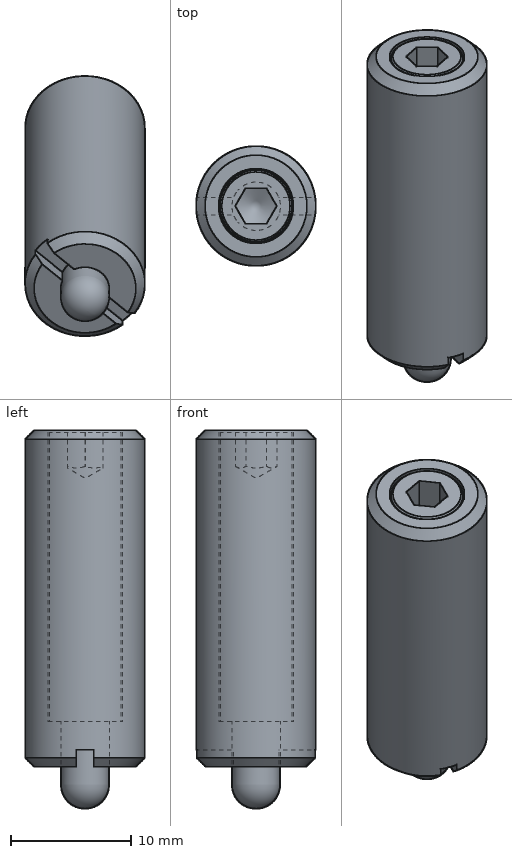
import cadquery as cq
import math

total_length = 31.5
sleeve_diameter = 10.0
sleeve_length = 28.0
sleeve_chamfer = 0.75

bore_radius = 3.12
head_radius = 3.0
head_chamfer = 0.15
nose_radius = 2.02
floor_thickness = 3.78

slot_width = 1.45
slot_depth = 1.42

hex_across_flats = 3.0
hex_depth = 3.0
socket_cone_angle = 120.0

sleeve_bottom = total_length - sleeve_length
bore_floor = sleeve_bottom + floor_thickness
hex_corner_radius = hex_across_flats / math.sqrt(3)
cone_depth = hex_corner_radius / math.tan(math.radians(socket_cone_angle / 2))


def make_sleeve():
    """Chamfered cylinder with a stepped bore and a slot along X in its lower end."""
    sleeve = (
        cq.Workplane("XY", origin=(0, 0, sleeve_bottom))
        .circle(sleeve_diameter / 2)
        .extrude(sleeve_length)
        .edges()
        .chamfer(sleeve_chamfer)
    )
    nose_hole = cq.Workplane("XY").circle(nose_radius).extrude(total_length)
    head_bore = (
        cq.Workplane("XY", origin=(0, 0, bore_floor))
        .circle(bore_radius)
        .extrude(total_length - bore_floor)
    )
    slot = cq.Workplane("XY", origin=(0, 0, sleeve_bottom)).box(
        sleeve_diameter, slot_width, slot_depth, centered=(True, True, False)
    )
    return sleeve.cut(nose_hole).cut(head_bore).cut(slot)


def make_hex_socket():
    """Hexagonal cavity, corners on X, narrowing to a point at its lower end."""
    prism = (
        cq.Workplane("XY", origin=(0, 0, total_length))
        .polygon(6, 2 * hex_corner_radius)
        .extrude(-(hex_depth + cone_depth))
    )
    cone_base = total_length - hex_depth
    pointed_cylinder = (
        cq.Workplane("XZ")
        .moveTo(0, cone_base - cone_depth)
        .lineTo(hex_corner_radius, cone_base)
        .lineTo(hex_corner_radius, total_length)
        .lineTo(0, total_length)
        .close()
        .revolve(360, (0, 0), (0, 1))
    )
    return prism.intersect(pointed_cylinder)


def make_plunger():
    """Wide chamfered head above a slim nose with a hemispherical tip."""
    arc_offset = nose_radius * math.sqrt(0.5)
    body = (
        cq.Workplane("XZ")
        .moveTo(0, 0)
        .threePointArc((arc_offset, nose_radius - arc_offset), (nose_radius, nose_radius))
        .lineTo(nose_radius, bore_floor)
        .lineTo(head_radius, bore_floor)
        .lineTo(head_radius, total_length - head_chamfer)
        .lineTo(head_radius - head_chamfer, total_length)
        .lineTo(0, total_length)
        .close()
        .revolve(360, (0, 0), (0, 1))
    )
    return body.cut(make_hex_socket())


sleeve = make_sleeve()
plunger = make_plunger()

result = cq.Compound.makeCompound([sleeve.val(), plunger.val()])